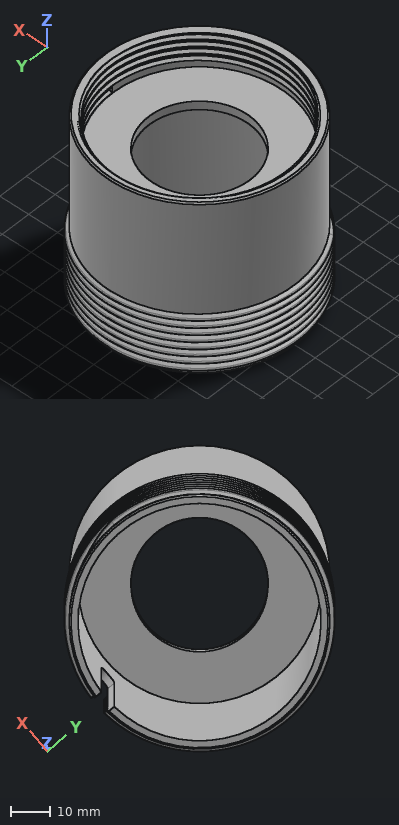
import cadquery as cq
import math

HEIGHT = 60.0
BODY_DIAMETER = 66.6
EDGE_CHAMFER = 0.5

RECESS_DIAMETER = 60.6
RECESS_DEPTH = 12.0
WEB_THICKNESS = 3.0
WEB_HOLE_DIAMETER = 35.0
LOWER_BORE_DIAMETER = 62.0

FORM_WIDTH = 2.0
ROOT_OVERLAP = 0.1

OUTER_THREAD_DIAMETER = 69.05
OUTER_THREAD_START = 1.7
OUTER_THREAD_TURNS = 7.6
OUTER_THREAD_LENGTH = 19.0
HALF_FLANK_ANGLE = 30.0
FADE_ANGLE = 20.0
FADE_STEPS = 4
FADE_END_SCALE = 0.05

INNER_THREAD_DIAMETER = 62.6
GROOVE_FLOOR_WIDTH = 0.6
INNER_THREAD_TURNS = 5
INNER_THREAD_GAP = 0.1

SLOT_WIDTH = 5.0
SLOT_TOP = 31.4

body_radius = BODY_DIAMETER / 2
recess_radius = RECESS_DIAMETER / 2
recess_floor = HEIGHT - RECESS_DEPTH
web_bottom = recess_floor - WEB_THICKNESS
pitch = OUTER_THREAD_LENGTH / OUTER_THREAD_TURNS


def cylinder(diameter, bottom, top):
    return cq.Workplane("XY").workplane(offset=bottom).circle(diameter / 2).extrude(top - bottom)


def make_body():
    body = cylinder(BODY_DIAMETER, 0, HEIGHT).edges().chamfer(EDGE_CHAMFER)
    body = body.cut(cylinder(RECESS_DIAMETER, recess_floor, HEIGHT))
    body = body.cut(cylinder(WEB_HOLE_DIAMETER, web_bottom, recess_floor))
    body = body.cut(cylinder(LOWER_BORE_DIAMETER, 0, web_bottom))
    return body.rotate((0, 0, 0), (0, 0, 1), 90)


def section_wire(angle, lower_foot, lower_shoulder, tip, upper_shoulder, upper_foot):
    """Closed thread section through points (radius, z), turned by the angle about Z.

    The shoulders are joined by an arc through the tip, or by a straight line if tip is None.
    """
    turn = math.radians(angle)

    def place(point):
        radius, z = point
        return cq.Vector(radius * math.cos(turn), radius * math.sin(turn), z)

    foot_a, shoulder_a = place(lower_foot), place(lower_shoulder)
    foot_b, shoulder_b = place(upper_foot), place(upper_shoulder)
    if tip is None:
        crest = cq.Edge.makeLine(shoulder_a, shoulder_b)
    else:
        crest = cq.Edge.makeThreePointArc(shoulder_a, place(tip), shoulder_b)
    edges = [
        cq.Edge.makeLine(foot_a, shoulder_a),
        crest,
        cq.Edge.makeLine(shoulder_b, foot_b),
        cq.Edge.makeLine(foot_b, foot_a),
    ]
    return cq.Wire.assembleEdges(edges)


def sweep_section(section, radius, start_z, turns):
    """Right-handed helical sweep of a section that starts on the +X side."""
    path = cq.Wire.makeHelix(pitch, turns * pitch, radius, cq.Vector(0, 0, start_z))
    return cq.Workplane(cq.Solid.sweep(section, [], path, True, True))


def ridge_section(angle, scale=1.0):
    """Section of the outer thread at a helix angle, shrunk toward the wall by the scale."""
    z = OUTER_THREAD_START + pitch * angle / 360
    flank_slope = math.tan(math.radians(HALF_FLANK_ANGLE))
    flank_sine = math.sin(math.radians(HALF_FLANK_ANGLE))
    depth = (OUTER_THREAD_DIAMETER - BODY_DIAMETER) / 2
    apex_cut = FORM_WIDTH / 2 / flank_slope - depth
    crest_radius = apex_cut * flank_sine / (1 - flank_sine)
    shoulder_depth = depth - crest_radius * (1 - flank_sine)
    half_shoulder = scale * (FORM_WIDTH / 2 - shoulder_depth * flank_slope)
    half_foot = scale * FORM_WIDTH / 2 + ROOT_OVERLAP * flank_slope
    foot = body_radius - ROOT_OVERLAP
    shoulder = body_radius + scale * shoulder_depth
    tip = body_radius + scale * depth
    return section_wire(
        angle,
        (foot, z - half_foot),
        (shoulder, z - half_shoulder),
        (tip, z),
        (shoulder, z + half_shoulder),
        (foot, z + half_foot),
    )


def make_fade(angle, direction):
    """End of the outer thread that shrinks to nearly nothing along the helix."""
    sections = []
    for step in range(FADE_STEPS + 1):
        fraction = step / FADE_STEPS
        scale = max(1 - fraction, FADE_END_SCALE)
        sections.append(ridge_section(angle + direction * fraction * FADE_ANGLE, scale))
    return cq.Workplane(cq.Solid.makeLoft(sections, False))


def make_outer_thread():
    ridge = sweep_section(ridge_section(0), body_radius, OUTER_THREAD_START, OUTER_THREAD_TURNS)
    return ridge, make_fade(0, -1), make_fade(360 * OUTER_THREAD_TURNS, 1)


def make_inner_groove():
    z = recess_floor + INNER_THREAD_GAP + FORM_WIDTH / 2
    groove_radius = INNER_THREAD_DIAMETER / 2
    half_floor = GROOVE_FLOOR_WIDTH / 2
    flank_slope = (FORM_WIDTH / 2 - half_floor) / (groove_radius - recess_radius)
    half_foot = FORM_WIDTH / 2 + ROOT_OVERLAP * flank_slope
    foot = recess_radius - ROOT_OVERLAP
    section = section_wire(
        0,
        (foot, z - half_foot),
        (groove_radius, z - half_floor),
        None,
        (groove_radius, z + half_floor),
        (foot, z + half_foot),
    )
    return sweep_section(section, recess_radius, z, INNER_THREAD_TURNS)


def make_slot():
    round_radius = SLOT_WIDTH / 2
    round_center = SLOT_TOP - round_radius
    return (
        cq.Workplane("XZ")
        .moveTo(-round_radius, 0)
        .lineTo(-round_radius, round_center)
        .threePointArc((0, SLOT_TOP), (round_radius, round_center))
        .lineTo(round_radius, 0)
        .close()
        .extrude(OUTER_THREAD_DIAMETER)
    )


result = make_body().cut(make_inner_groove())
for ridge in make_outer_thread():
    result = result.union(ridge)
result = result.cut(make_slot())